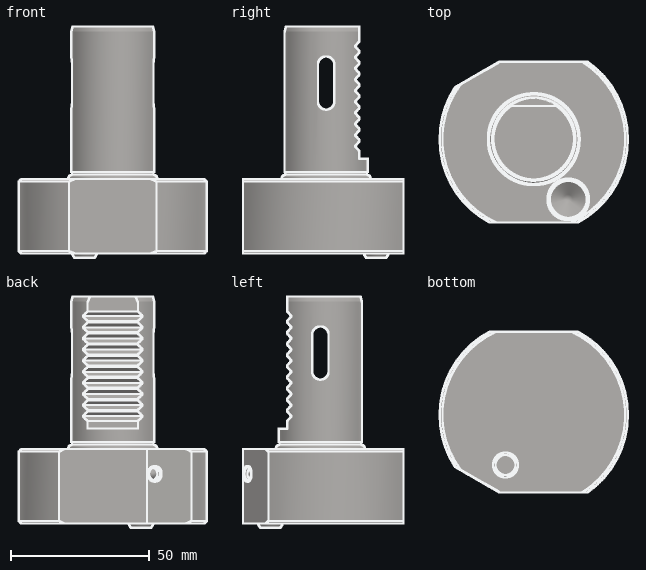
import cadquery as cq
import math

overall_height = 83.5

flange_radius = 34.0
flange_height = 27.0
flange_chamfer = 1.0
front_flat_y = -30.1
back_flat_y = 28.0
corner_flat_distance = 30.4
corner_flat_direction = 120

shank_radius = 15
shank_height = 55.0
shank_tip_chamfer_height = 2.0
shank_tip_chamfer_width = 0.5
tooth_flat_y = 12.0
tooth_flat_bottom = 7.3
tooth_count = 10
tooth_pitch = 4.0
first_tooth_depth = 7.2
tooth_groove_depth = 1.6
tooth_groove_half_width = 1.75

slot_width = 5.85
slot_length = 19.1
slot_center_z = shank_height - 20.45

neck_radius = 14.8
neck_top = 2.4
ring_center_radius = 14.6
ring_section_radius = 1.5
ring_groove_radius = 16.6
ring_groove_depth = ring_section_radius

pocket_x = 12.4
pocket_y = -21.7
pocket_radius = 6.9
pocket_bore_radius = 6.7
pocket_step_depth = 7.85
pocket_depth = 13.4
pocket_chamfer = 0.6
drill_tip_angle = 118

side_plug_z = -9.0
side_plug_radius = 2.3
side_plug_rim_radius = 2.8
side_plug_rim_depth = 0.2
side_plug_depth = 2.25
side_plug_dome_height = 1.9

passage_radius = 1.3
passage_length = 10
passage_direction = 80
passage_z = -8.3

nozzle_x = -10.2
nozzle_y = 18.0
nozzle_radius = 4.8
nozzle_sink = 1.6
nozzle_height = overall_height - flange_height - shank_height


def revolve_about_z(profile):
    """Full turn of an outline of radius and height about the Z axis."""
    return profile.close().revolve(360, (0, 0, 0), (0, 1, 0))


def make_flange():
    span = 4 * flange_radius
    disc = (
        cq.Workplane("XY")
        .workplane(offset=-flange_height)
        .circle(flange_radius)
        .extrude(flange_height)
        .edges()
        .chamfer(flange_chamfer)
    )
    flats = (
        cq.Workplane("XY")
        .box(span, back_flat_y - front_flat_y, span)
        .translate((0, (back_flat_y + front_flat_y) / 2, 0))
    )
    corner = (
        cq.Workplane("XY")
        .box(span, span, span)
        .translate((corner_flat_distance + span / 2, 0, 0))
        .rotate((0, 0, 0), (0, 0, 1), corner_flat_direction)
    )
    return disc.intersect(flats).cut(corner)


def make_shank():
    """Turned shank, starting at the floor of the ring groove."""
    profile = cq.Workplane("XZ").polyline([
        (0, -ring_groove_depth),
        (neck_radius, -ring_groove_depth),
        (neck_radius, neck_top),
        (shank_radius, neck_top),
        (shank_radius, shank_height - shank_tip_chamfer_height),
        (shank_radius - shank_tip_chamfer_width, shank_height),
        (0, shank_height),
    ])
    return revolve_about_z(profile)


def make_tooth_cutter():
    """Material beyond the flat, plus a row of V grooves cut into it."""
    width = 2 * shank_radius
    flat_height = shank_height - tooth_flat_bottom
    cutter = (
        cq.Workplane("XY")
        .box(width, width, flat_height, centered=(True, False, False))
        .translate((0, tooth_flat_y, tooth_flat_bottom))
    )
    for index in range(tooth_count):
        z = shank_height - first_tooth_depth - index * tooth_pitch
        groove = (
            cq.Workplane("YZ")
            .polyline([
                (tooth_flat_y, z + tooth_groove_half_width),
                (tooth_flat_y - tooth_groove_depth, z),
                (tooth_flat_y, z - tooth_groove_half_width),
            ])
            .close()
            .extrude(width / 2, both=True)
        )
        cutter = cutter.union(groove)
    return cutter


def make_slot_cutter():
    return (
        cq.Workplane("YZ")
        .center(0, slot_center_z)
        .slot2D(slot_length, slot_width, 90)
        .extrude(shank_radius, both=True)
    )


def make_ring_groove():
    return (
        cq.Workplane("XY")
        .circle(ring_groove_radius)
        .extrude(-ring_groove_depth)
    )


def make_ring():
    return (
        cq.Workplane("XZ")
        .center(ring_center_radius, 0)
        .circle(ring_section_radius)
        .revolve(360, (-ring_center_radius, 0, 0), (-ring_center_radius, 1, 0))
    )


def make_pocket():
    """Chamfered mouth, shallow counterbore and a bore with a drill tip."""
    tip_depth = pocket_bore_radius / math.tan(math.radians(drill_tip_angle / 2))
    profile = cq.Workplane("XZ").polyline([
        (0, 0),
        (pocket_radius + pocket_chamfer, 0),
        (pocket_radius, -pocket_chamfer),
        (pocket_radius, -pocket_step_depth),
        (pocket_bore_radius, -pocket_step_depth),
        (pocket_bore_radius, -pocket_depth),
        (0, -pocket_depth - tip_depth),
    ])
    return revolve_about_z(profile).translate((pocket_x, pocket_y, 0))


def make_passage():
    return (
        cq.Workplane("YZ")
        .center(0, passage_z)
        .circle(passage_radius)
        .extrude(passage_length)
        .rotate((0, 0, 0), (0, 0, 1), passage_direction)
        .translate((pocket_x, pocket_y, 0))
    )


def make_side_mouth():
    """Rimmed mouth above the dome, turned from Z to face square out of the corner flat."""
    dome_radius = (side_plug_radius**2 + side_plug_dome_height**2) / (2 * side_plug_dome_height)
    dome_top = side_plug_dome_height - side_plug_depth
    half_angle = math.asin(side_plug_radius / dome_radius) / 2
    dome_middle = (
        dome_radius * math.sin(half_angle),
        dome_top - dome_radius * (1 - math.cos(half_angle)),
    )
    profile = (
        cq.Workplane("XZ")
        .moveTo(0, 0)
        .lineTo(side_plug_rim_radius, 0)
        .lineTo(side_plug_rim_radius, -side_plug_rim_depth)
        .lineTo(side_plug_radius, -side_plug_rim_depth)
        .lineTo(side_plug_radius, -side_plug_depth)
        .threePointArc(dome_middle, (0, dome_top))
    )
    return (
        revolve_about_z(profile)
        .rotate((0, 0, 0), (0, 1, 0), 90)
        .translate((corner_flat_distance, 0, side_plug_z))
        .rotate((0, 0, 0), (0, 0, 1), corner_flat_direction)
    )


def make_nozzle():
    ball = cq.Workplane("XY").sphere(nozzle_radius).translate((0, 0, nozzle_sink))
    span = 2 * nozzle_radius
    slab = cq.Workplane("XY").box(span, span, nozzle_height, centered=(True, True, False))
    return (
        ball.intersect(slab.translate((0, 0, -nozzle_height)))
        .translate((nozzle_x, nozzle_y, -flange_height))
    )


flange = make_flange()
for cutter in (make_ring_groove(), make_pocket(), make_passage(), make_side_mouth()):
    flange = flange.cut(cutter)
shank = make_shank().cut(make_tooth_cutter()).cut(make_slot_cutter())
result = flange.union(shank).union(make_ring()).union(make_nozzle())